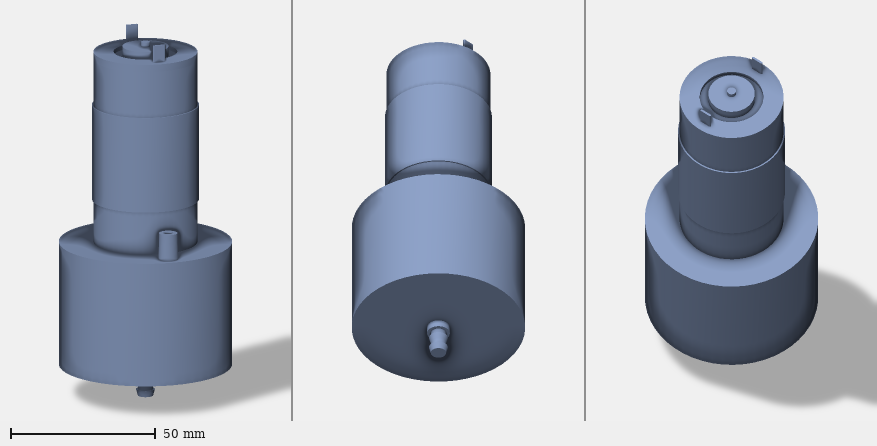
import cadquery as cq

COLLAR_BOTTOM = 8.6
HOUSING_BOTTOM = 11.2
HOUSING_TOP = 55.0
SLEEVE_BOTTOM = 70.3
SLEEVE_TOP = 104.0
CAN_TOP = 120.4
END_CAP_TOP = 123.0
DISC_TOP = 124.9
SHAFT_TOP = 126.5
TERMINAL_TOP = 128.9

HOUSING_DIAMETER = 60.0
CAN_DIAMETER = 36.0
SLEEVE_DIAMETER = 37.0
GROOVE_DIAMETER = 22.0
GROOVE_DEPTH = 1.5
DISC_DIAMETER = 16.0
SHAFT_DIAMETER = 3.1

TERMINAL_SPACING = 29.1
TERMINAL_WIDTH = 4.4
TERMINAL_THICKNESS = 0.8

PORT_X = 24.6
PORT_BASE_DIAMETER = 6.8
PORT_TIP_DIAMETER = 6.3
PORT_BORE = 3.4
PORT_TOP = 64.3

COLLAR_DIAMETER = 7.9
STEM_DIAMETER = 5.3
BARB_DIAMETER = 6.6
BARB_HEIGHT = 2.3
BARB_PITCH = 4.3
BARB_COUNT = 2


def cylinder(diameter, bottom, top):
    """Solid cylinder on the Z axis."""
    return cq.Workplane("XY").workplane(offset=bottom).circle(diameter / 2).extrude(top - bottom)


def tube(outer_diameter, inner_diameter, bottom, top):
    """Hollow cylinder on the Z axis."""
    return cylinder(outer_diameter, bottom, top).cut(cylinder(inner_diameter, bottom, top))


def cone(bottom_diameter, top_diameter, bottom, top):
    """Truncated cone on the Z axis."""
    solid = cq.Solid.makeCone(
        bottom_diameter / 2, top_diameter / 2, top - bottom, pnt=cq.Vector(0, 0, bottom)
    )
    return cq.Workplane(obj=solid)


def make_end_cap():
    """End cap whose top has a ring groove around a central boss."""
    groove = tube(GROOVE_DIAMETER, DISC_DIAMETER, END_CAP_TOP - GROOVE_DEPTH, END_CAP_TOP)
    return cylinder(CAN_DIAMETER, CAN_TOP, END_CAP_TOP).cut(groove)


def make_terminal(x):
    """Upright blade with round ends, standing on the end cap."""
    return (
        cq.Workplane("XY")
        .workplane(offset=END_CAP_TOP)
        .center(x, 0)
        .slot2D(TERMINAL_WIDTH, TERMINAL_THICKNESS, 90)
        .extrude(TERMINAL_TOP - END_CAP_TOP)
    )


def make_port():
    """Slightly tapered tube standing on the housing, beside the motor."""
    outside = cone(PORT_BASE_DIAMETER, PORT_TIP_DIAMETER, HOUSING_TOP, PORT_TOP)
    bore = cylinder(PORT_BORE, HOUSING_TOP, PORT_TOP)
    return outside.cut(bore).translate((PORT_X, 0, 0))


def make_hose_fitting():
    """Collar and stem with barbs that narrow downwards to the stem."""
    fitting = cylinder(COLLAR_DIAMETER, COLLAR_BOTTOM, HOUSING_BOTTOM)
    fitting = fitting.union(cylinder(STEM_DIAMETER, 0, COLLAR_BOTTOM))
    for index in range(BARB_COUNT):
        bottom = index * BARB_PITCH
        barb = cone(STEM_DIAMETER, BARB_DIAMETER, bottom, bottom + BARB_HEIGHT)
        fitting = fitting.union(barb)
    return fitting


housing = cylinder(HOUSING_DIAMETER, HOUSING_BOTTOM, HOUSING_TOP)
motor_can = cylinder(CAN_DIAMETER, HOUSING_TOP, CAN_TOP)
sleeve = tube(SLEEVE_DIAMETER, CAN_DIAMETER, SLEEVE_BOTTOM, SLEEVE_TOP)
end_cap = make_end_cap()
bearing_disc = tube(DISC_DIAMETER, SHAFT_DIAMETER, END_CAP_TOP, DISC_TOP)
shaft = cylinder(SHAFT_DIAMETER, END_CAP_TOP, SHAFT_TOP)
terminals = [make_terminal(side * TERMINAL_SPACING / 2) for side in (-1, 1)]
port = make_port()
hose_fitting = make_hose_fitting()

result = cq.Compound.makeCompound(
    [
        housing.val(),
        motor_can.val(),
        sleeve.val(),
        end_cap.val(),
        bearing_disc.val(),
        shaft.val(),
        *[terminal.val() for terminal in terminals],
        port.val(),
        hose_fitting.val(),
    ]
)